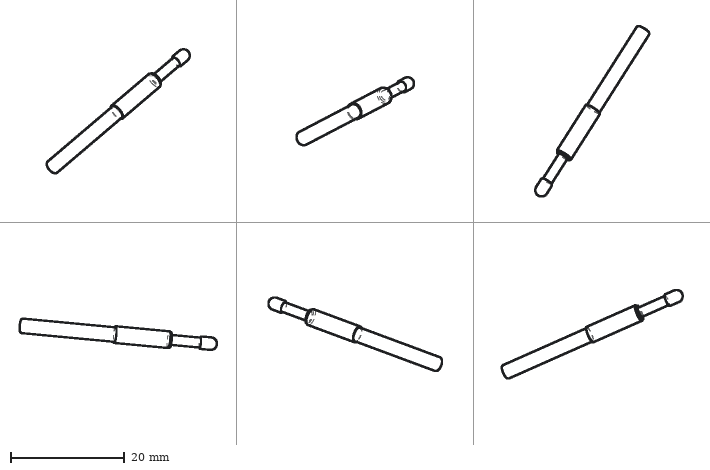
import cadquery as cq
import math

total_length = 35.3

head_radius = 1.13
head_length = 3.0
head_fillet = 0.2
stem_radius = 1.8 / 2

sleeve_radius = 3.0 / 2
sleeve_length = 10.0
sleeve_bevel_length = 0.32
sleeve_bevel_depth = 0.18
tip_to_sleeve = 8.33

barrel_radius = 2.6 / 2
barrel_fillet = 0.4

head_back = total_length - head_length
dome_start = total_length - head_radius
sleeve_front = total_length - tip_to_sleeve
sleeve_back = sleeve_front - sleeve_length

diagonal = math.sqrt(0.5)


def round_corner(center_x, center_y, radius, x_side, y_side):
    """Middle point of a quarter arc, on the given side of its center."""
    return (
        center_x + x_side * radius * diagonal,
        center_y + y_side * radius * diagonal,
    )


profile = (
    cq.Workplane("XY")
    .moveTo(0, 0)
    .lineTo(barrel_radius - barrel_fillet, 0)
    .threePointArc(
        round_corner(barrel_radius - barrel_fillet, barrel_fillet, barrel_fillet, 1, -1),
        (barrel_radius, barrel_fillet),
    )
    .lineTo(barrel_radius, sleeve_back)
    .lineTo(sleeve_radius, sleeve_back)
    .lineTo(sleeve_radius, sleeve_front - sleeve_bevel_length)
    .lineTo(sleeve_radius - sleeve_bevel_depth, sleeve_front)
    .lineTo(stem_radius, sleeve_front)
    .lineTo(stem_radius, head_back)
    .lineTo(head_radius - head_fillet, head_back)
    .threePointArc(
        round_corner(head_radius - head_fillet, head_back + head_fillet, head_fillet, 1, -1),
        (head_radius, head_back + head_fillet),
    )
    .lineTo(head_radius, dome_start)
    .threePointArc(
        round_corner(0, dome_start, head_radius, 1, 1),
        (0, total_length),
    )
    .close()
)

result = profile.revolve(360, (0, 0, 0), (0, 1, 0))